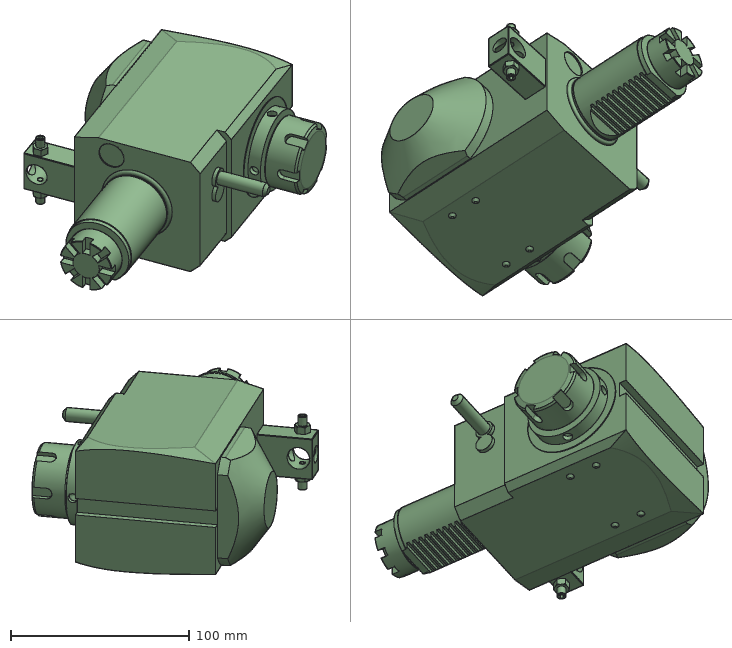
import cadquery as cq
import math


HOUSING_LEFT = -39.0
HOUSING_RIGHT = 42.0
HOUSING_BACK = 116.0
HOUSING_HALF_HEIGHT = 37.5
SIDE_HALF_HEIGHT = 33.5
CREST_LEFT = -24.0
CREST_RIGHT = HOUSING_RIGHT - (HOUSING_HALF_HEIGHT - SIDE_HALF_HEIGHT)
CREST_BACK_LEFT = 104.0
CREST_BACK_RIGHT = 103.0
BACK_PEAK_X = 13.0
BACK_PEAK_TOP = 112.9
BACK_PEAK_BASE = 130.0
BACK_LEFT_STEEPNESS = 1.6
BACK_RIGHT_STEEPNESS = 2.4
STEP_LENGTH = 35.0
STEP_RIGHT = 39.0
STEP_CHAMFER = 6.0
KEYWAY_WIDTH = 10.0
KEYWAY_DEPTH = 4.2
PLUG_X, PLUG_Z = -16.0, 27.6
PLUG_RADIUS = 7.7
PLUG_DEPTH = 0.8

SPINDLE_Y = 80.0
SEAL_RADIUS, SEAL_END = 29.2, 42.5
FLANGE_RADIUS, FLANGE_END = 24.0, 50.2
NECK_RADIUS, NECK_END = 18.0, 51.0
NUT_RADIUS, NUT_END = 20.8, 71.6
NUT_REAR_CHAMFER = 0.7
NUT_SHOULDER_X = 69.6
NUT_RIM_X, NUT_RIM_RADIUS = 70.9, 20.0
NUT_FACE_RADIUS = 16.7
NUT_SLOTS = 6
NUT_SLOT_WIDTH = 6.4
NUT_SLOT_START = 59.2
NUT_SLOT_FLOOR = 17.4
FLANGE_HOLES = 4
FLANGE_HOLE_RADIUS = 2.7
FLANGE_HOLE_DEPTH = 3.0
DRILL_POINT_DEG = 118.0

COVER_RADIUS = 40.3
COVER_NOSE_RADIUS = 16.0
COVER_RIM_X = -45.0
COVER_NOSE_X = -62.2
COVER_BACK = 111.5
COVER_HALF_HEIGHT = 32.7
COVER_SLOPE_X = -41.7
COVER_SLOPE_DEG = 15.0

PIN_Y, PIN_Z = 21.0, 16.1
PIN_RADIUS = 4.0
PIN_CHAMFER = 2.0
PIN_COLLAR_RADIUS = 5.5
PIN_COLLAR_END = 41.3
LOWER_COLLAR_Z = 6.0

SHANK_RADIUS = 20.0
SHANK_COLLAR_RADIUS = 21.7
SHANK_COLLAR_LENGTH = 2.0
SHANK_COLLAR_ROUNDING = 1.5
SHANK_GROOVE_RADIUS = 19.6
SHANK_GROOVE_END = 3.1
SHANK_TIP_RADIUS = 19.5
SHANK_TIP_START = 50.2
SHANK_LENGTH = 53.0
COUPLING_NECK_RADIUS = 12.8
COUPLING_START = 54.0
COUPLING_RADIUS = 16.1
COUPLING_CHAMFER = 0.4
COUPLING_END = 68.0
COUPLING_CORE_RADIUS = 8.2
COUPLING_SLOTS = 8
COUPLING_SLOT_WIDTH = 4.7
COUPLING_SLOT_DEPTH = 4.6
RACK_FLAT_Z = -16.1
RACK_RAMP_START = 5.0
RACK_PITCH = 4.0
RACK_DEPTH = 1.5
RACK_ROOT_WIDTH = 1.4
RACK_MOUTH_WIDTH = 2.8
RACK_FIRST = 11.4
RACK_GROOVES = 10

BLOCK_LEFT = -71.0
BLOCK_FRONT, BLOCK_BACK = 1.1, 16.1
BLOCK_HALF_HEIGHT = 12.3
BLOCK_CHAMFER = 0.4
BLOCK_BORE_X = -62.9
BLOCK_BORE_RADIUS = 6.5
BLOCK_PORT_Y = 7.7
BLOCK_PORT_RADIUS = 4.9
BLOCK_PORT_END = -48.0
BLOCK_DUCT_RADIUS = 1.6
BLOCK_DUCT_END = -46.0
STUD_Y = 6.2
STUD_RADIUS = 2.6
STUD_TOP = 22.2
STUD_TIP_CHAMFER = 0.4
STUD_HOLE_RADIUS = 1.6
STUD_HOLE_TOP = 6.8
STUD_NUT_TOP = 16.6
STUD_NUT_FLATS = 8.0
STUD_NUT_CHAMFER = 0.5
STUD_SOCKET_FLATS = 2.5
STUD_SOCKET_DEPTH = 2.5

SCREW_XS = (-16.6, 30.2)
SCREW_YS = (71.4, 88.6)
SCREW_BOTTOM = -39.1
SCREW_BASE_RADIUS = 2.2
SCREW_TIP_RADIUS = 0.8

HEX_SIDES = 6
OVERLAP = 1.0


def box(x0, x1, y0, y1, z0, z1):
    return cq.Workplane("XY").box(x1 - x0, y1 - y0, z1 - z0, centered=False).translate((x0, y0, z0))


def rod_x(radius, x0, x1, y, z=0.0):
    return cq.Workplane("YZ", origin=(x0, y, z)).circle(radius).extrude(x1 - x0)


def cap_outline(plane, left, right, back_left, back_right, back_peak):
    """Closed plan outline whose back edge is one curve, level at its peak."""
    left_slope = BACK_LEFT_STEEPNESS * (back_peak - back_left) / (BACK_PEAK_X - left)
    right_slope = BACK_RIGHT_STEEPNESS * (back_peak - back_right) / (right - BACK_PEAK_X)
    return (
        plane.moveTo(left, 0)
        .lineTo(right, 0)
        .lineTo(right, back_right)
        .spline(
            [(right, back_right), (BACK_PEAK_X, back_peak), (left, back_left)],
            tangents=[(-1, right_slope), (-1, 0), (-1, -left_slope)],
        )
        .close()
    )


def housing_cap():
    """Upper layer with sloped left, right and curved back sides."""
    base = cap_outline(
        cq.Workplane("XY").workplane(offset=SIDE_HALF_HEIGHT),
        HOUSING_LEFT, HOUSING_RIGHT, HOUSING_BACK, HOUSING_BACK, BACK_PEAK_BASE,
    )
    cap = cap_outline(
        base.workplane(offset=HOUSING_HALF_HEIGHT - SIDE_HALF_HEIGHT),
        CREST_LEFT, CREST_RIGHT, CREST_BACK_LEFT, CREST_BACK_RIGHT, BACK_PEAK_TOP,
    ).loft(ruled=True)
    return cap.intersect(
        box(HOUSING_LEFT, HOUSING_RIGHT, 0, HOUSING_BACK, SIDE_HALF_HEIGHT, HOUSING_HALF_HEIGHT)
    )


def housing():
    body = box(HOUSING_LEFT, HOUSING_RIGHT, 0, HOUSING_BACK, -SIDE_HALF_HEIGHT, SIDE_HALF_HEIGHT)
    cap = housing_cap()
    body = body.union(cap).union(cap.mirror("XY"))
    blank = box(HOUSING_LEFT, STEP_RIGHT, 0, STEP_LENGTH, -HOUSING_HALF_HEIGHT, HOUSING_HALF_HEIGHT)
    blank = blank.edges("|Y and >X").chamfer(STEP_CHAMFER)
    rear = box(
        HOUSING_LEFT, HOUSING_RIGHT, STEP_LENGTH, HOUSING_BACK, -HOUSING_HALF_HEIGHT, HOUSING_HALF_HEIGHT
    )
    body = body.intersect(blank.union(rear))
    keyway = box(
        HOUSING_LEFT, HOUSING_RIGHT, HOUSING_BACK - KEYWAY_DEPTH, HOUSING_BACK,
        -KEYWAY_WIDTH / 2, KEYWAY_WIDTH / 2,
    )
    plug = cq.Workplane("XZ", origin=(PLUG_X, 0, PLUG_Z)).circle(PLUG_RADIUS).extrude(-PLUG_DEPTH)
    return body.cut(keyway).cut(plug)


def cover():
    """Conical cover, cut off at the back and flattened above and below."""
    start = HOUSING_LEFT + OVERLAP
    cone = (
        cq.Workplane("XY")
        .moveTo(start, 0)
        .lineTo(start, COVER_RADIUS)
        .lineTo(COVER_RIM_X, COVER_RADIUS)
        .lineTo(COVER_NOSE_X, COVER_NOSE_RADIUS)
        .lineTo(COVER_NOSE_X, 0)
        .close()
        .revolve(360, (0, 0, 0), (1, 0, 0))
        .translate((0, SPINDLE_Y, 0))
    )
    drop = (COVER_SLOPE_X - COVER_NOSE_X) * math.tan(math.radians(COVER_SLOPE_DEG))
    nose_half_height = COVER_HALF_HEIGHT - drop
    envelope = (
        cq.Workplane("XZ", origin=(0, COVER_BACK, 0))
        .moveTo(start, COVER_HALF_HEIGHT)
        .lineTo(COVER_SLOPE_X, COVER_HALF_HEIGHT)
        .lineTo(COVER_NOSE_X, nose_half_height)
        .lineTo(COVER_NOSE_X, -nose_half_height)
        .lineTo(COVER_SLOPE_X, -COVER_HALF_HEIGHT)
        .lineTo(start, -COVER_HALF_HEIGHT)
        .close()
        .extrude(2 * COVER_RADIUS)
    )
    return cone.intersect(envelope)


def spindle_nut():
    profile = [
        (NECK_END, 0),
        (NECK_END, NUT_RADIUS - NUT_REAR_CHAMFER),
        (NECK_END + NUT_REAR_CHAMFER, NUT_RADIUS),
        (NUT_SHOULDER_X, NUT_RADIUS),
        (NUT_RIM_X, NUT_RIM_RADIUS),
        (NUT_END, NUT_FACE_RADIUS),
        (NUT_END, 0),
    ]
    nut = cq.Workplane("XY").polyline(profile).close().revolve(360, (0, 0, 0), (1, 0, 0))
    round_x = NUT_SLOT_START + NUT_SLOT_WIDTH / 2
    slot = box(
        round_x, NUT_END, -NUT_SLOT_WIDTH / 2, NUT_SLOT_WIDTH / 2, NUT_SLOT_FLOOR, NUT_RADIUS
    ).union(
        cq.Workplane("XY", origin=(round_x, 0, NUT_SLOT_FLOOR))
        .circle(NUT_SLOT_WIDTH / 2)
        .extrude(NUT_RADIUS - NUT_SLOT_FLOOR)
    )
    for index in range(NUT_SLOTS):
        angle = 90 + index * 360 / NUT_SLOTS
        nut = nut.cut(slot.rotate((0, 0, 0), (1, 0, 0), angle))
    return nut


def spindle():
    body = rod_x(SEAL_RADIUS, HOUSING_RIGHT - OVERLAP, SEAL_END, 0)
    flange = rod_x(FLANGE_RADIUS, HOUSING_RIGHT - OVERLAP, FLANGE_END, 0)
    hole_floor = FLANGE_RADIUS - FLANGE_HOLE_DEPTH
    drill_tip = hole_floor - FLANGE_HOLE_RADIUS / math.tan(math.radians(DRILL_POINT_DEG / 2))
    hole = (
        cq.Workplane("XZ")
        .polyline([
            (0, FLANGE_RADIUS),
            (FLANGE_HOLE_RADIUS, FLANGE_RADIUS),
            (FLANGE_HOLE_RADIUS, hole_floor),
            (0, drill_tip),
        ])
        .close()
        .revolve(360, (0, 0, 0), (0, 1, 0))
        .translate(((SEAL_END + FLANGE_END) / 2, 0, 0))
    )
    for index in range(FLANGE_HOLES):
        flange = flange.cut(hole.rotate((0, 0, 0), (1, 0, 0), index * 360 / FLANGE_HOLES))
    neck = rod_x(NECK_RADIUS, FLANGE_END - OVERLAP, NECK_END + OVERLAP, 0)
    return body.union(flange).union(neck).union(spindle_nut()).translate((0, SPINDLE_Y, 0))


def locating_pin():
    pin = rod_x(PIN_RADIUS, STEP_RIGHT - OVERLAP, NUT_END, PIN_Y, PIN_Z).faces(">X").chamfer(PIN_CHAMFER)
    for collar_z in (PIN_Z, LOWER_COLLAR_Z):
        pin = pin.union(rod_x(PIN_COLLAR_RADIUS, STEP_RIGHT - OVERLAP, PIN_COLLAR_END, PIN_Y, collar_z))
    return pin


def shank_blank():
    collar = (
        cq.Workplane("XZ", origin=(0, OVERLAP, 0))
        .circle(SHANK_COLLAR_RADIUS)
        .extrude(OVERLAP + SHANK_COLLAR_LENGTH)
        .faces("<Y")
        .edges()
        .fillet(SHANK_COLLAR_ROUNDING)
    )
    profile = [
        (0, 0),
        (SHANK_GROOVE_RADIUS, 0),
        (SHANK_GROOVE_RADIUS, -SHANK_GROOVE_END),
        (SHANK_RADIUS, -SHANK_GROOVE_END),
        (SHANK_RADIUS, -SHANK_TIP_START),
        (SHANK_TIP_RADIUS, -SHANK_TIP_START),
        (SHANK_TIP_RADIUS, -SHANK_LENGTH),
        (COUPLING_NECK_RADIUS, -SHANK_LENGTH),
        (COUPLING_NECK_RADIUS, -COUPLING_START),
        (COUPLING_RADIUS - COUPLING_CHAMFER, -COUPLING_START),
        (COUPLING_RADIUS, -COUPLING_START - COUPLING_CHAMFER),
        (COUPLING_RADIUS, -COUPLING_END + COUPLING_CHAMFER),
        (COUPLING_RADIUS - COUPLING_CHAMFER, -COUPLING_END),
        (0, -COUPLING_END),
    ]
    return cq.Workplane("XY").polyline(profile).close().revolve(360, (0, 0, 0), (0, 1, 0)).union(collar)


def rack_cutter():
    """Flat with a ramp and tapered grooves along the underside of the shank."""
    bottom = -SHANK_COLLAR_RADIUS
    ramp_end = RACK_RAMP_START + SHANK_RADIUS + RACK_FLAT_Z
    points = [(-RACK_RAMP_START, -SHANK_RADIUS), (-ramp_end, RACK_FLAT_Z)]
    for index in range(RACK_GROOVES):
        middle = RACK_FIRST + index * RACK_PITCH
        points.append((-middle + RACK_MOUTH_WIDTH / 2, RACK_FLAT_Z))
        points.append((-middle + RACK_ROOT_WIDTH / 2, RACK_FLAT_Z + RACK_DEPTH))
        points.append((-middle - RACK_ROOT_WIDTH / 2, RACK_FLAT_Z + RACK_DEPTH))
        points.append((-middle - RACK_MOUTH_WIDTH / 2, RACK_FLAT_Z))
    points += [(-SHANK_LENGTH, RACK_FLAT_Z), (-SHANK_LENGTH, bottom), (-RACK_RAMP_START, bottom)]
    return cq.Workplane("YZ").polyline(points).close().extrude(SHANK_RADIUS, both=True)


def shank():
    body = shank_blank().cut(rack_cutter())
    slot_floor = -COUPLING_END + COUPLING_SLOT_DEPTH
    core = (
        cq.Workplane("XZ", origin=(0, slot_floor, 0))
        .circle(COUPLING_CORE_RADIUS)
        .extrude(COUPLING_SLOT_DEPTH)
    )
    slot = box(
        -COUPLING_SLOT_WIDTH / 2, COUPLING_SLOT_WIDTH / 2, -COUPLING_END, slot_floor, 0, COUPLING_RADIUS
    ).cut(core)
    for index in range(COUPLING_SLOTS):
        body = body.cut(slot.rotate((0, 0, 0), (0, 1, 0), index * 360 / COUPLING_SLOTS))
    return body


def stud():
    """Set screw with hexagon socket and lock nut, pointing up."""
    base = BLOCK_HALF_HEIGHT - OVERLAP
    across_corners = 2 / math.sqrt(3)
    rod = cq.Workplane("XY").workplane(offset=base).circle(STUD_RADIUS).extrude(STUD_TOP - base)
    rod = rod.faces(">Z").chamfer(STUD_TIP_CHAMFER)
    nut = (
        cq.Workplane("XY")
        .workplane(offset=base)
        .polygon(HEX_SIDES, STUD_NUT_FLATS * across_corners)
        .extrude(STUD_NUT_TOP - base)
    )
    nut_turning = (
        cq.Workplane("XY")
        .workplane(offset=base)
        .circle(STUD_NUT_FLATS * across_corners / 2)
        .extrude(STUD_NUT_TOP - base)
        .faces(">Z")
        .chamfer(STUD_NUT_CHAMFER)
    )
    nut = nut.intersect(nut_turning)
    socket = (
        cq.Workplane("XY")
        .workplane(offset=STUD_TOP - STUD_SOCKET_DEPTH)
        .polygon(HEX_SIDES, STUD_SOCKET_FLATS * across_corners)
        .extrude(STUD_SOCKET_DEPTH)
    )
    return nut.union(rod).cut(socket).translate((BLOCK_BORE_X, STUD_Y, 0))


def coolant_block():
    block = box(
        BLOCK_LEFT, HOUSING_LEFT + OVERLAP, BLOCK_FRONT, BLOCK_BACK, -BLOCK_HALF_HEIGHT, BLOCK_HALF_HEIGHT
    )
    block = block.edges("|X").chamfer(BLOCK_CHAMFER).faces("<X").chamfer(BLOCK_CHAMFER)
    bore = (
        cq.Workplane("XZ", origin=(BLOCK_BORE_X, BLOCK_BACK, 0))
        .circle(BLOCK_BORE_RADIUS)
        .extrude(BLOCK_BACK - BLOCK_FRONT)
    )
    port = rod_x(BLOCK_PORT_RADIUS, BLOCK_LEFT, BLOCK_PORT_END, BLOCK_PORT_Y)
    duct = rod_x(BLOCK_DUCT_RADIUS, BLOCK_PORT_END, BLOCK_DUCT_END, BLOCK_PORT_Y)
    stud_holes = (
        cq.Workplane("XY", origin=(BLOCK_BORE_X, STUD_Y, 0))
        .circle(STUD_HOLE_RADIUS)
        .extrude(STUD_HOLE_TOP, both=True)
    )
    upper_stud = stud()
    block = block.cut(bore).cut(port).cut(duct).cut(stud_holes)
    return block.union(upper_stud).union(upper_stud.mirror("XY"))


def set_screw(x, y):
    tip_height = -HOUSING_HALF_HEIGHT - SCREW_BOTTOM
    tip = (
        cq.Workplane("XZ")
        .moveTo(0, OVERLAP)
        .lineTo(SCREW_BASE_RADIUS, OVERLAP)
        .lineTo(SCREW_BASE_RADIUS, 0)
        .lineTo(SCREW_TIP_RADIUS, -tip_height)
        .lineTo(0, -tip_height)
        .close()
        .revolve(360, (0, 0, 0), (0, 1, 0))
    )
    return tip.translate((x, y, -HOUSING_HALF_HEIGHT))


result = housing()
for piece in (cover(), spindle(), locating_pin(), shank(), coolant_block()):
    result = result.union(piece)
for screw_x in SCREW_XS:
    for screw_y in SCREW_YS:
        result = result.union(set_screw(screw_x, screw_y))